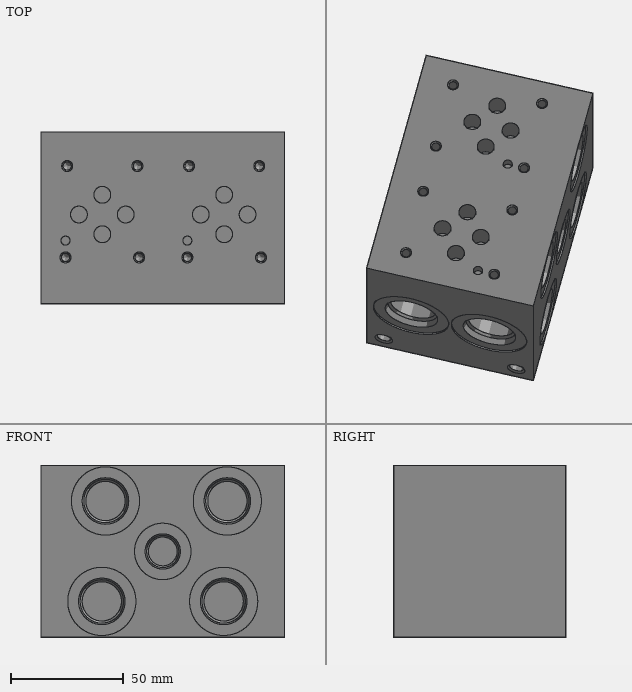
import cadquery as cq
import math

LENGTH = 108.0
WIDTH = 76.2
HEIGHT = 76.2

SPOTFACE_DEPTH = 0.8
SEAT_DEPTH = 2.6
LEAD_IN_DEPTH = 1.1

WORK_PORT = dict(spotface=30.2, mouth=20.6, seat=19.2, bore=17.4, depth=19.4)
GAUGE_PORT = dict(spotface=25.0, mouth=15.7, seat=14.2, bore=12.7, depth=17.3)
SUPPLY_PORT = dict(spotface=34.4, mouth=24.0, seat=22.6, bore=20.6, depth=21.6)

STATION_PITCH = 54.0
A_PORT_Z = -22.1
B_PORT_Z = 22.3
B_PORT_SHIFT = 1.6
SUPPLY_PORT_Y = 17.8

DRILL_POINT_ANGLE = 118.0
MOUNT_HOLE = dict(mouth=8.0, drill=6.4, depth=15.1)
VALVE_BOLT_HOLE = dict(mouth=4.9, drill=3.7, depth=13.0)
MOUNT_HOLE_OFFSET = 30.2

VALVE_SHIFT = 0.2
REAR_BOLT_Y = 23.0
REAR_BOLT_HALF_SPAN = 15.5
FRONT_BOLT_HALF_SPAN = 16.3
FRONT_BOLT_OFFSET = 40.5
PIN_OFFSET = 33.0
PORT_CENTRE_OFFSET = 21.5
PORT_HALF_SPAN_X = 10.4
PORT_HALF_SPAN_Y = 8.7
VALVE_PORT_DIAMETER = 7.5
VALVE_PORT_DEPTH = 13.0
PIN_DIAMETER = 4.0
PIN_DEPTH = 4.3


def front_face(x, z):
    return cq.Plane(origin=(x, -WIDTH / 2, z), xDir=(1, 0, 0), normal=(0, -1, 0))


def left_face(y, z):
    return cq.Plane(origin=(-LENGTH / 2, y, z), xDir=(0, -1, 0), normal=(-1, 0, 0))


def top_face(x, y):
    return cq.Plane(origin=(x, y, HEIGHT / 2), xDir=(1, 0, 0), normal=(0, 0, 1))


def revolved_cutter(plane, profile):
    """Revolve (radius, depth) points about the hole axis, depth running into the block."""
    points = [(radius, -depth) for radius, depth in profile]
    cutter = cq.Workplane("XZ").polyline(points).close().revolve(360, (0, 0, 0), (0, 1, 0))
    return cutter.val().moved(plane.location)


def threaded_port(plane, spotface, mouth, seat, bore, depth):
    seat_end = SPOTFACE_DEPTH + SEAT_DEPTH
    return revolved_cutter(plane, [
        (0, 0),
        (spotface / 2, 0),
        (spotface / 2, SPOTFACE_DEPTH),
        (mouth / 2, SPOTFACE_DEPTH),
        (seat / 2, seat_end),
        (bore / 2, seat_end + LEAD_IN_DEPTH),
        (bore / 2, depth),
        (0, depth),
    ])


def tapped_hole(plane, mouth, drill, depth):
    countersink_depth = (mouth - drill) / 2
    point_length = drill / 2 / math.tan(math.radians(DRILL_POINT_ANGLE / 2))
    return revolved_cutter(plane, [
        (0, 0),
        (mouth / 2, 0),
        (drill / 2, countersink_depth),
        (drill / 2, depth),
        (0, depth + point_length),
    ])


def plain_hole(plane, diameter, depth):
    return revolved_cutter(plane, [(0, 0), (diameter / 2, 0), (diameter / 2, depth), (0, depth)])


def valve_station(x):
    """Work ports on the front face and the valve mounting pattern above them."""
    cutters = [
        threaded_port(front_face(x, A_PORT_Z), **WORK_PORT),
        threaded_port(front_face(x + B_PORT_SHIFT, B_PORT_Z), **WORK_PORT),
    ]

    valve_x = x + VALVE_SHIFT
    front_bolt_y = REAR_BOLT_Y - FRONT_BOLT_OFFSET
    for side in (-1, 1):
        rear_bolt = top_face(valve_x + side * REAR_BOLT_HALF_SPAN, REAR_BOLT_Y)
        front_bolt = top_face(valve_x + side * FRONT_BOLT_HALF_SPAN, front_bolt_y)
        cutters.append(tapped_hole(rear_bolt, **VALVE_BOLT_HOLE))
        cutters.append(tapped_hole(front_bolt, **VALVE_BOLT_HOLE))

    port_y = REAR_BOLT_Y - PORT_CENTRE_OFFSET
    for side in (-1, 1):
        side_port = top_face(valve_x + side * PORT_HALF_SPAN_X, port_y)
        middle_port = top_face(valve_x, port_y + side * PORT_HALF_SPAN_Y)
        cutters.append(plain_hole(side_port, VALVE_PORT_DIAMETER, VALVE_PORT_DEPTH))
        cutters.append(plain_hole(middle_port, VALVE_PORT_DIAMETER, VALVE_PORT_DEPTH))

    pin = top_face(valve_x - FRONT_BOLT_HALF_SPAN, REAR_BOLT_Y - PIN_OFFSET)
    cutters.append(plain_hole(pin, PIN_DIAMETER, PIN_DEPTH))
    return cutters


def left_end():
    """Supply and tank ports with the two mounting holes below them."""
    cutters = []
    for side in (-1, 1):
        supply_port = left_face(side * SUPPLY_PORT_Y, 0)
        mount_hole = left_face(side * MOUNT_HOLE_OFFSET, -MOUNT_HOLE_OFFSET)
        cutters.append(threaded_port(supply_port, **SUPPLY_PORT))
        cutters.append(tapped_hole(mount_hole, **MOUNT_HOLE))
    return cutters


cutters = left_end()
cutters.append(threaded_port(front_face(0, 0), **GAUGE_PORT))
for station_x in (-STATION_PITCH / 2, STATION_PITCH / 2):
    cutters.extend(valve_station(station_x))

result = cq.Workplane("XY").box(LENGTH, WIDTH, HEIGHT)
for cutter in cutters:
    result = result.cut(cq.Workplane(obj=cutter))